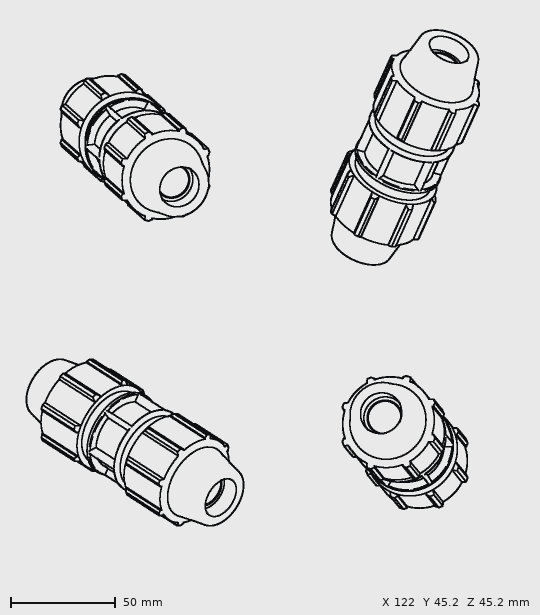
import cadquery as cq


length = 122.0
half_length = length / 2

bore_diameter = 16.0
socket_diameter = 20.0
socket_depth = 8.4
bore_chamfer = 0.4

nose_end_radius = 15.1
nose_base_radius = 18.5
nose_length = 17.5
nose_sag = 0.1
nose_edge_radius = 0.9

nut_radius = 22.3
nut_length = 26.8
nut_face_slope = 1 / 3
rib_near_offset = 7.0
rib_ridge_offset = 8.5
rib_far_offset = 10.5
rib_shoulder_height = 21.8
rib_ridge_height = 22.6
rib_top_radius = 24.4

body_diameter = 38.4
collar_diameter = 43.2
collar_half_width = 10.6
flange_width = 2.1
pocket_floor_radius = 17.5
bar_count = 6
bar_width = 2.0
collar_edge_radius = 0.4

nut_outer_x = half_length - nose_length
nut_inner_x = nut_outer_x - nut_length
collar_radius = collar_diameter / 2
pocket_half_length = collar_half_width - flange_width


def cylinder(radius, start_x, end_x):
    """Solid cylinder on the X axis from start_x to end_x."""
    return cq.Workplane("YZ", origin=(start_x, 0, 0)).circle(radius).extrude(end_x - start_x)


def make_nose():
    """Flared nose on the +X end with a rounded front edge."""
    mid_point = (half_length - nose_length / 2, (nose_end_radius + nose_base_radius) / 2 - nose_sag)
    profile = (
        cq.Workplane("XY")
        .moveTo(nut_outer_x, 0)
        .lineTo(nut_outer_x, nose_base_radius)
        .threePointArc(mid_point, (half_length, nose_end_radius))
        .lineTo(half_length, 0)
        .close()
    )
    nose = profile.revolve(360, (0, 0, 0), (1, 0, 0))
    return nose.faces(">X").edges().fillet(nose_edge_radius)


def make_rib(angle, side):
    """Ridge-topped grip rib on the +1 or -1 side of the radial line at the given angle."""
    rib = (
        cq.Workplane("YZ", origin=(nut_inner_x, 0, 0))
        .moveTo(side * rib_near_offset, nose_base_radius)
        .lineTo(side * rib_near_offset, rib_shoulder_height)
        .lineTo(side * rib_ridge_offset, rib_ridge_height)
        .lineTo(side * rib_far_offset, rib_shoulder_height)
        .lineTo(side * rib_far_offset, nose_base_radius)
        .close()
        .extrude(nut_length)
    )
    return rib.rotate((0, 0, 0), (1, 0, 0), angle)


def make_nut():
    """Nut on the +X side with four pairs of ribs and conical end faces."""
    nut = cylinder(nut_radius, nut_inner_x, nut_outer_x)
    for angle in range(0, 360, 90):
        for side in (-1, 1):
            nut = nut.union(make_rib(angle, side))

    outer_face_run = (rib_top_radius - nose_base_radius) * nut_face_slope
    inner_chamfer = rib_top_radius - nut_radius
    envelope = (
        cq.Workplane("XY")
        .moveTo(nut_inner_x, 0)
        .lineTo(nut_inner_x, nut_radius)
        .lineTo(nut_inner_x + inner_chamfer, rib_top_radius)
        .lineTo(nut_outer_x - outer_face_run, rib_top_radius)
        .lineTo(nut_outer_x, nose_base_radius)
        .lineTo(nut_outer_x, 0)
        .close()
        .revolve(360, (0, 0, 0), (1, 0, 0))
    )
    return nut.intersect(envelope)


def make_collar():
    """Central collar: two flanges joined by bars, with a pocket between each pair of bars."""
    collar = cylinder(collar_radius, -collar_half_width, collar_half_width)
    pockets = cylinder(collar_radius, -pocket_half_length, pocket_half_length)
    pockets = pockets.cut(cylinder(pocket_floor_radius, -pocket_half_length, pocket_half_length))
    for index in range(bar_count):
        bar = (
            cq.Workplane("XY")
            .box(2 * pocket_half_length, collar_diameter, bar_width)
            .translate((0, collar_radius, 0))
            .rotate((0, 0, 0), (1, 0, 0), index * 360 / bar_count)
        )
        pockets = pockets.cut(bar)
    collar = collar.cut(pockets)
    rim = collar.faces("%CYLINDER").faces(cq.selectors.AreaNthSelector(-1))
    return rim.edges().fillet(collar_edge_radius)


def make_passage():
    """Bore and stepped pipe socket from the middle of the part to the +X end."""
    socket_floor_x = half_length - socket_depth
    bore = cylinder(bore_diameter / 2, 0, socket_floor_x)
    socket = cylinder(socket_diameter / 2, socket_floor_x, half_length)
    lead_in = (
        cq.Workplane("YZ", origin=(socket_floor_x, 0, 0))
        .circle(bore_diameter / 2 + bore_chamfer)
        .workplane(offset=-bore_chamfer)
        .circle(bore_diameter / 2)
        .loft()
    )
    return bore.union(lead_in).union(socket)


end = make_nose().union(make_nut())
body = cylinder(body_diameter / 2, -nut_inner_x, nut_inner_x)
body = body.cut(cylinder(collar_radius, -pocket_half_length, pocket_half_length))
body = body.union(make_collar())

result = body.union(end).union(end.mirror("YZ"))
passage = make_passage()
result = result.cut(passage).cut(passage.mirror("YZ"))